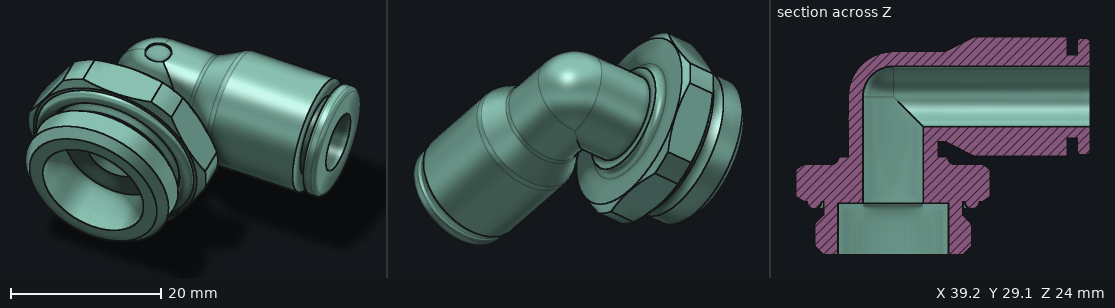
import cadquery as cq
import math


elbow_radius = 6.05
bore_radius = 4.0

socket_end = 23.15
socket_radius = 8.0
cone_start = 6.9
cone_end = 10.75
cone_blend = 1.55
neck_blend = 1.18

collar_start = 24.45
collar_end = 26.22
collar_radius = 7.75
collar_stem_radius = 5.55
collar_inner_round = 0.4
collar_outer_round = 0.55

hex_start = 8.98
hex_end = 14.0
hex_across_flats = 24.0
hex_corner_radius = 12.98
hex_face_radius = 11.9
hex_chamfer_angle = 30

flange_start = 8.0
flange_radius = 7.3

ring_radius = 11.5
ring_section_radius = 0.98

stud_end = 21.1
stud_radius = 10.45
stud_neck_radius = 9.3
stud_neck_end = 15.68
stud_chamfer = stud_radius - stud_neck_radius
counterbore_radius = 7.35
counterbore_floor = 14.2

emblem_radius = 1.75
emblem_depth = 0.55


def rod_along_x(radius, start, end):
    """Cylinder on the socket axis, between two X positions."""
    return cq.Workplane("YZ", origin=(start, 0, 0)).circle(radius).extrude(end - start)


def rod_along_stud(radius, start, end):
    """Cylinder on the stud axis, between two distances from the bend."""
    return cq.Workplane("XZ", origin=(0, -start, 0)).circle(radius).extrude(end - start)


def bend(radius):
    """Rounded outside corner shared by the two legs of the elbow."""
    return cq.Workplane("XY").sphere(radius)


def edges_near_x(x):
    """Selects the socket edges that lie within a short distance of the given X."""
    margin = 0.4
    reach = 2 * socket_radius
    return cq.selectors.BoxSelector((x - margin, -reach, -reach), (x + margin, reach, reach))


def make_socket():
    """Straight leg of the elbow, widening through a blended cone into the tube socket."""
    body = (
        cq.Workplane("XY")
        .lineTo(0, elbow_radius)
        .lineTo(cone_start, elbow_radius)
        .lineTo(cone_end, socket_radius)
        .lineTo(socket_end, socket_radius)
        .lineTo(socket_end, 0)
        .close()
        .revolve(360, (0, 0, 0), (1, 0, 0))
    )
    body = body.edges(edges_near_x(cone_start)).fillet(neck_blend)
    return body.edges(edges_near_x(cone_end)).fillet(cone_blend)


def make_collar():
    stem = rod_along_x(collar_stem_radius, socket_end, collar_start)
    rim = rod_along_x(collar_radius, collar_start, collar_end)
    rim = rim.faces("<X").edges().fillet(collar_inner_round)
    rim = rim.faces(">X").edges().fillet(collar_outer_round)
    return stem.union(rim)


def make_hexagon():
    """Hexagon prism with its corners turned round and both faces chamfered."""
    corner_diameter = hex_across_flats / math.cos(math.pi / 6)
    hex_thickness = hex_end - hex_start
    prism = cq.Workplane("XZ", origin=(0, -hex_start, 0)).polygon(6, corner_diameter).extrude(hex_thickness)
    chamfer_radial = hex_corner_radius - hex_face_radius
    chamfer_axial = chamfer_radial * math.tan(math.radians(hex_chamfer_angle))
    turned = rod_along_stud(hex_corner_radius, hex_start, hex_end)
    turned = turned.faces("<Y or >Y").edges().chamfer(chamfer_axial, chamfer_radial)
    return prism.intersect(turned)


def make_flange():
    """Short collar that flares out with a hollow curve where it meets the hexagon."""
    flare = hex_start - flange_start
    foot_radius = flange_radius + flare
    diagonal = flare * math.sqrt(0.5)
    return (
        cq.Workplane("XY")
        .moveTo(0, -flange_start)
        .lineTo(flange_radius, -flange_start)
        .threePointArc((foot_radius - diagonal, -flange_start - diagonal), (foot_radius, -hex_start))
        .lineTo(0, -hex_start)
        .close()
        .revolve(360, (0, 0, 0), (0, 1, 0))
    )


def make_stud():
    """Chamfered thread blank on a narrower neck, with the sealing ring round the neck."""
    ring_center_radius = ring_radius - ring_section_radius
    ring = (
        cq.Workplane("XY")
        .center(ring_center_radius, -hex_end)
        .circle(ring_section_radius)
        .revolve(360, (-ring_center_radius, 0, 0), (-ring_center_radius, 1, 0))
    )
    neck = rod_along_stud(stud_neck_radius, hex_end, stud_neck_end)
    thread = rod_along_stud(stud_radius, stud_neck_end, stud_end)
    thread = thread.faces("<Y or >Y").edges().chamfer(stud_chamfer)
    return neck.union(thread).union(ring)


def make_passage():
    """Bore that follows the elbow from the stud counterbore to the open end of the collar."""
    leg = rod_along_stud(bore_radius, 0, stud_end)
    outlet = rod_along_x(bore_radius, 0, collar_end)
    counterbore = rod_along_stud(counterbore_radius, counterbore_floor, stud_end)
    return bend(bore_radius).union(leg).union(outlet).union(counterbore)


def make_emblem_recess():
    floor = elbow_radius - emblem_depth
    return cq.Workplane("XY", origin=(0, 0, floor)).circle(emblem_radius).extrude(2 * emblem_depth)


result = bend(elbow_radius).union(rod_along_stud(elbow_radius, 0, flange_start))
for section in (make_socket(), make_collar(), make_flange(), make_hexagon(), make_stud()):
    result = result.union(section)
result = result.cut(make_passage()).cut(make_emblem_recess())